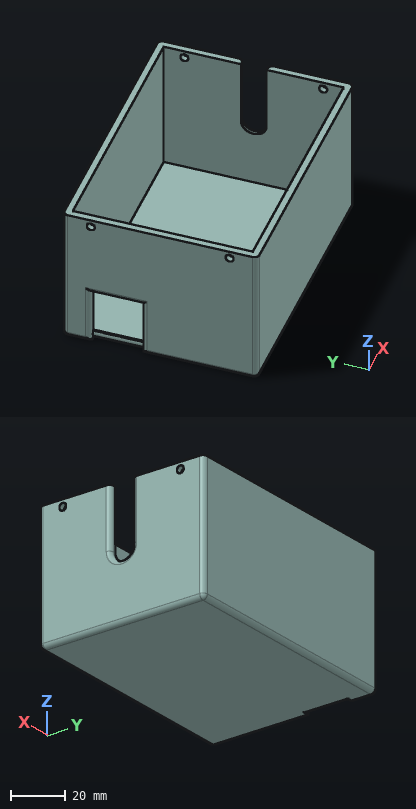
import cadquery as cq
import math

length = 106.0
width = 76.0
height = 58.0
wall = 3.0
floor = 3.0
edge_radius = 2.0

opening_width = 19.9
opening_top = 23.3
opening_center_y = 17.1
sill_setback = 2.2
sill_radius = edge_radius

notch_width = 10.0
notch_depth = 31.9

hole_diameter = 3.1
hole_spacing = 54.1
hole_drop = 3.1

outer_x = length / 2
inner_x = outer_x - wall
tolerance = 0.01


def box_at(size_x, size_y, size_z, center_x, center_y, bottom_z):
    block = cq.Workplane("XY").box(size_x, size_y, size_z, centered=(True, True, False))
    return block.translate((center_x, center_y, bottom_z))


def edges_on_outer_face(body, face_x, center_y, span_y, bottom_z, top_z):
    """Edges lying in an outer end face, inside the given Y and Z window."""
    selector = cq.selectors.BoxSelector(
        (face_x - tolerance, center_y - span_y / 2 - tolerance, bottom_z),
        (face_x + tolerance, center_y + span_y / 2 + tolerance, top_z + tolerance),
    )
    return body.edges(selector)


body = box_at(length, width, height, 0, 0, 0).edges("|Z").fillet(edge_radius)
cavity = box_at(length - 2 * wall, width - 2 * wall, height - floor, 0, 0, floor)
body = body.cut(cavity)

opening_depth = sill_setback + sill_radius
opening_center_x = -outer_x + opening_depth / 2
opening = box_at(
    opening_depth, opening_width, opening_top, opening_center_x, opening_center_y, 0
)
body = body.cut(opening)

bottom_perimeter = body.faces("<Z").edges().filter(
    lambda edge: abs(edge.Center().y - opening_center_y) > opening_width / 2 + tolerance
)
opening_edges = edges_on_outer_face(
    body, -outer_x, opening_center_y, opening_width, tolerance, opening_top
)
body = bottom_perimeter.add(opening_edges).fillet(edge_radius)

sill_nose_x = -outer_x + sill_setback
sill_center_x = sill_nose_x + sill_radius
center_to_wall = sill_center_x + inner_x
sill_top = sill_radius + math.sqrt(sill_radius**2 - center_to_wall**2)
sill = (
    cq.Workplane("XZ", origin=(0, opening_center_y + opening_width / 2, 0))
    .moveTo(sill_center_x, 0)
    .threePointArc((sill_nose_x, sill_radius), (-inner_x, sill_top))
    .lineTo(-inner_x, floor)
    .lineTo(sill_center_x, floor)
    .close()
    .extrude(opening_width)
)
body = body.union(sill)

notch_radius = notch_width / 2
notch_center_z = height - notch_depth + notch_radius
notch = (
    cq.Workplane("YZ", origin=(inner_x, 0, 0))
    .moveTo(-notch_radius, height)
    .lineTo(-notch_radius, notch_center_z)
    .threePointArc((0, height - notch_depth), (notch_radius, notch_center_z))
    .lineTo(notch_radius, height)
    .close()
    .extrude(wall)
)
body = body.cut(notch)
body = edges_on_outer_face(
    body, outer_x, 0, notch_width, height - notch_depth - tolerance, height - tolerance
).fillet(edge_radius)

holes = (
    cq.Workplane("YZ", origin=(-outer_x, 0, height - hole_drop))
    .pushPoints([(-hole_spacing / 2, 0), (hole_spacing / 2, 0)])
    .circle(hole_diameter / 2)
    .extrude(length)
)
result = body.cut(holes)